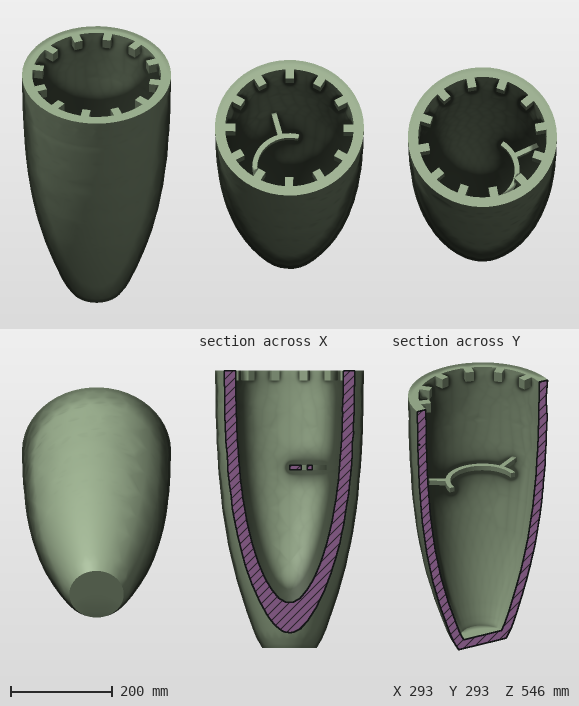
import cadquery as cq
import math

height = 546.0
rim_diameter = 293.0
base_radius = 53.5
wall = 20.0

bulge = [(68.0, 27.5), (78.5, 54.5), (105.0, 136.5), (132.0, 273), (143.5, 409.5)]

tooth_count = 12
tooth_width = 16.5
tooth_length = wall
tooth_height = wall

bar = 10.0
bracket_outer_radius = 73.0
bracket_top = 360.5
spoke_angle = 30.0

rim_radius = rim_diameter / 2
mouth_radius = rim_radius - wall
tooth_pitch = 360 / tooth_count
bracket_inner_radius = bracket_outer_radius - bar
bracket_bottom = bracket_top - bar


def make_shell():
    """Bullet-shaped cup, open at the rim and closed by a flat floor."""
    body = (
        cq.Workplane("XZ")
        .lineTo(base_radius, 0)
        .spline(bulge + [(rim_radius, height)], includeCurrent=True)
        .lineTo(0, height)
        .close()
        .revolve(360, (0, 0), (0, 1))
    )
    return body.faces(">Z").shell(-wall)


def radial_bar(inner, outer, width, bottom, depth, angle):
    """Straight bar pointing away from the Z axis at the given angle from +X."""
    return (
        cq.Workplane("XY", origin=(0, 0, bottom))
        .center((inner + outer) / 2, 0)
        .rect(outer - inner, width)
        .extrude(depth)
        .rotate((0, 0, 0), (0, 0, 1), angle)
    )


def add_teeth(part):
    """Teeth around the mouth, set half a pitch off the X axis and flush with the rim."""
    tip_radius = mouth_radius - tooth_length
    root_radius = mouth_radius + wall / 2
    for index in range(tooth_count):
        angle = (index + 0.5) * tooth_pitch
        tooth = radial_bar(tip_radius, root_radius, tooth_width, height - tooth_height, tooth_height, angle)
        part = part.union(tooth)
    return part


def make_half_ring():
    """Half ring of square section on the -Y side of the axis."""
    return (
        cq.Workplane("XY", origin=(0, 0, bracket_bottom))
        .moveTo(-bracket_outer_radius, 0)
        .threePointArc((0, -bracket_outer_radius), (bracket_outer_radius, 0))
        .lineTo(bracket_inner_radius, 0)
        .threePointArc((0, -bracket_inner_radius), (-bracket_inner_radius, 0))
        .close()
        .extrude(bar)
    )


def add_bracket(part):
    """Half ring held to the wall by one spoke on each side."""
    part = part.union(make_half_ring())
    spoke_start = bracket_outer_radius - bar / 2
    spoke_end = mouth_radius + wall / 4
    for angle in (-spoke_angle, spoke_angle - 180):
        part = part.union(radial_bar(spoke_start, spoke_end, bar, bracket_bottom, bar, angle))
    return part


result = add_bracket(add_teeth(make_shell()))